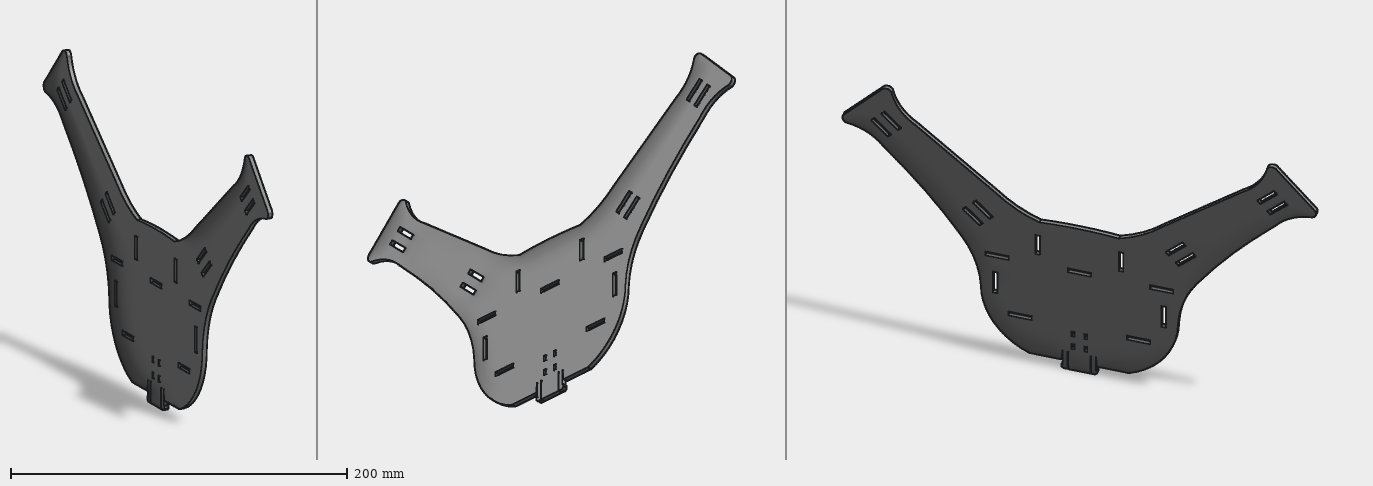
import cadquery as cq
import math

THICKNESS = 3.0

HALF_SPAN = 147.885
TAB_DROP = 6.4
OVERALL_HEIGHT = 188.32
TOP_Z = OVERALL_HEIGHT - TAB_DROP

ARM_ANGLE = 43.5
TIP_RADIUS = 3.5
UPPER_TIP_X = 120.4
UPPER_TIP_Z = TOP_Z - TIP_RADIUS
LOWER_TIP_X = HALF_SPAN - TIP_RADIUS
LOWER_TIP_Z = 152.7
UPPER_TIP_START = 175
LOWER_TIP_END = -88

TOP_CENTRE = (0, 103.6)
SHOULDER = (24.8, 102.6)
UPPER_ARM_INNER = (52.0, 118.5)
UPPER_ARM_OUTER = (102.0, 158.1)
LOWER_ARM_OUTER = (122.5, 137.1)
LOWER_ARM_INNER = (108.6, 123.0)
WAIST_TOP = (73.5, 79.9)
WAIST = (61.5, 45.0)
BOTTOM_CORNER = (31.0, 0)

TOP_BULGE = 0.25
SHOULDER_BULGE = 1.7
TIP_FLARE_BULGE = 2.5
LOWER_ARM_BULGE = 1.1
WAIST_BULGE = 2.6
BODY_RADIUS = 48.3

SLOT_WIDTH = 2.9
SLOT_LENGTH = 14.5
SIDE_SLOT_LENGTH = 16.0
BODY_SLOTS = [
    ((26.0, 84.8), SLOT_WIDTH, SLOT_LENGTH),
    ((51.4, 70.0), SLOT_LENGTH, SLOT_WIDTH),
    ((52.6, 49.1), SLOT_WIDTH, SIDE_SLOT_LENGTH),
    ((37.0, 27.2), SLOT_LENGTH, SLOT_WIDTH),
]
CENTRE_SLOT_Z = 70.0

ARM_SLOT_CENTRES = [(63.3, 100.1), (120.5, 154.3)]
ARM_SLOT_PITCH = 9.1

PIN_HOLE_WIDTH = 1.8
PIN_HOLE_HEIGHT = 3.6
PIN_HOLE_X = 4.0
PIN_HOLE_HEIGHTS = (11.6, 21.4)

SLIT_TOP = 6.8
TONGUE_HALF_WIDTH = 6.8
FINGER_INNER_X = 7.4
FINGER_OUTER_X = 10.3
RELIEF_TOP_X = 10.5
RELIEF_BOTTOM_X = 11.2
BARB_X = 11.1
BARB_TOP = -3.3
BARB_TIP = -5.2
FINGER_END_X = 9.8


def on_circle(centre_x, centre_z, radius, degrees):
    angle = math.radians(degrees)
    return (centre_x + radius * math.cos(angle), centre_z + radius * math.sin(angle))


def sheet():
    """Sketch plane on the back face, with local axes along X and Z."""
    return cq.Workplane("XZ", origin=(0, THICKNESS / 2, 0))


def mirrored(half):
    return half.union(half.mirror("YZ"))


def half_plate():
    """The +X half of the plate without its holes."""
    upper_start = on_circle(UPPER_TIP_X, UPPER_TIP_Z, TIP_RADIUS, UPPER_TIP_START)
    upper_middle = on_circle(UPPER_TIP_X, UPPER_TIP_Z, TIP_RADIUS, 90)
    upper_end = on_circle(UPPER_TIP_X, UPPER_TIP_Z, TIP_RADIUS, ARM_ANGLE)
    lower_start = on_circle(LOWER_TIP_X, LOWER_TIP_Z, TIP_RADIUS, ARM_ANGLE)
    lower_middle = on_circle(LOWER_TIP_X, LOWER_TIP_Z, TIP_RADIUS, 0)
    lower_end = on_circle(LOWER_TIP_X, LOWER_TIP_Z, TIP_RADIUS, LOWER_TIP_END)
    return (
        sheet()
        .moveTo(*TOP_CENTRE)
        .sagittaArc(SHOULDER, TOP_BULGE)
        .sagittaArc(UPPER_ARM_INNER, -SHOULDER_BULGE)
        .lineTo(*UPPER_ARM_OUTER)
        .sagittaArc(upper_start, -TIP_FLARE_BULGE)
        .threePointArc(upper_middle, upper_end)
        .lineTo(*lower_start)
        .threePointArc(lower_middle, lower_end)
        .sagittaArc(LOWER_ARM_OUTER, -TIP_FLARE_BULGE)
        .lineTo(*LOWER_ARM_INNER)
        .sagittaArc(WAIST_TOP, -LOWER_ARM_BULGE)
        .sagittaArc(WAIST, -WAIST_BULGE)
        .radiusArc(BOTTOM_CORNER, BODY_RADIUS)
        .lineTo(0, 0)
        .close()
        .extrude(THICKNESS)
    )


def half_tab():
    """The +X half of the tongue and one finger, reaching up to the slit top."""
    tongue = (
        sheet()
        .moveTo(0, SLIT_TOP)
        .lineTo(TONGUE_HALF_WIDTH, SLIT_TOP)
        .lineTo(TONGUE_HALF_WIDTH, -TAB_DROP)
        .lineTo(0, -TAB_DROP)
        .close()
        .extrude(THICKNESS)
    )
    finger = (
        sheet()
        .moveTo(FINGER_INNER_X, SLIT_TOP)
        .lineTo(FINGER_OUTER_X, SLIT_TOP)
        .lineTo(FINGER_OUTER_X, BARB_TOP)
        .lineTo(BARB_X, BARB_TOP)
        .lineTo(BARB_X, BARB_TIP)
        .lineTo(FINGER_END_X, -TAB_DROP)
        .lineTo(FINGER_INNER_X, -TAB_DROP)
        .close()
        .extrude(THICKNESS)
    )
    return tongue.union(finger)


def half_tab_opening():
    """Clearance cut from the plate so that only the tab is left inside it."""
    return (
        sheet()
        .moveTo(0, SLIT_TOP)
        .lineTo(RELIEF_TOP_X, SLIT_TOP)
        .lineTo(RELIEF_BOTTOM_X, 0)
        .lineTo(0, 0)
        .close()
        .extrude(THICKNESS)
    )


def slot(centre, x_size, z_size, tilt=0):
    return sheet().center(*centre).transformed(rotate=(0, 0, tilt)).rect(x_size, z_size).extrude(THICKNESS)


def half_holes():
    """Every hole on the +X side."""
    holes = slot((0, CENTRE_SLOT_Z), SLOT_LENGTH, SLOT_WIDTH)
    for centre, x_size, z_size in BODY_SLOTS:
        holes = holes.union(slot(centre, x_size, z_size))
    for x, z in ARM_SLOT_CENTRES:
        for side in (-90, 90):
            centre = on_circle(x, z, ARM_SLOT_PITCH / 2, ARM_ANGLE + side)
            holes = holes.union(slot(centre, SLOT_LENGTH, SLOT_WIDTH, ARM_ANGLE))
    for z in PIN_HOLE_HEIGHTS:
        holes = holes.union(slot((PIN_HOLE_X, z), PIN_HOLE_WIDTH, PIN_HOLE_HEIGHT))
    return holes


plate = mirrored(half_plate())
opening = mirrored(half_tab_opening())
tab = mirrored(half_tab())
holes = mirrored(half_holes())
result = plate.cut(opening).union(tab).cut(holes)